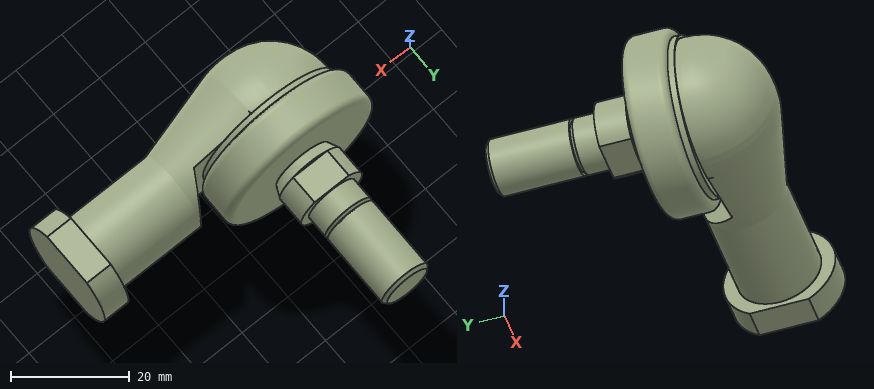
import cadquery as cq
import math


head_radius = 12.6
band_length = 1.4
head_top_y = 1.0
collar_radius = 14.2
shank_radius = 7.5
shank_start_x = 19.9
relief_angle = 60.0

flange_radius = 10.0
flange_width = 17.0
flange_length = 5.2
housing_end_x = 43.0

cap_radius = 16.0
cap_bottom_y = 2.2
cap_top_y = 10.1
cap_fillet = 1.4

stud_top_y = 37.9
stud_radius = 5.0
stud_chamfer = 0.65
thread_length = 15.0
wrench_radius = 6.65
wrench_width = 11.0
wrench_top_y = 17.9
wrench_bottom_y = 12.2
stud_root_radius = 5.7

tangent_angle = math.atan2(shank_radius, shank_start_x) + math.acos(
    head_radius / math.hypot(shank_radius, shank_start_x)
)
tangent_x = head_radius * math.cos(tangent_angle)
tangent_radius = head_radius * math.sin(tangent_angle)
flange_start_x = housing_end_x - flange_length


def head_outline():
    """Half outline of the head, from the tip of the dome to the end of the arc."""
    mid_angle = (tangent_angle + math.pi / 2) / 2
    dome_mid = head_radius * math.sqrt(0.5)
    return (
        cq.Workplane("XZ")
        .moveTo(-band_length - head_radius, 0)
        .threePointArc((-band_length - dome_mid, dome_mid), (-band_length, head_radius))
        .lineTo(0, head_radius)
        .threePointArc(
            (head_radius * math.cos(mid_angle), head_radius * math.sin(mid_angle)),
            (tangent_x, tangent_radius),
        )
        .lineTo(tangent_x, 0)
        .close()
    )


def build_head():
    """Half-round head below the shank axis, continued straight up to the flat top."""
    lower = head_outline().revolve(180, (0, 0), (1, 0))
    upper_half = head_outline().extrude(-head_top_y)
    return lower.union(upper_half).union(upper_half.mirror("XY"))


def build_shank():
    """Cone and cylinder around the X axis, relieved beside the cap."""
    shank = (
        cq.Workplane("XY")
        .moveTo(tangent_x, 0)
        .lineTo(tangent_x, tangent_radius)
        .lineTo(shank_start_x, shank_radius)
        .lineTo(flange_start_x, shank_radius)
        .lineTo(flange_start_x, 0)
        .close()
        .revolve(360, (0, 0), (1, 0))
    )
    relief_run = (shank_radius - head_top_y) / math.tan(math.radians(relief_angle))
    relief_height = head_radius - head_top_y
    relief_top_run = relief_height / math.tan(math.radians(relief_angle))
    relief_foot_x = shank_start_x - relief_run
    relief = (
        cq.Workplane("XY")
        .moveTo(0, head_top_y)
        .lineTo(relief_foot_x, head_top_y)
        .lineTo(relief_foot_x + relief_top_run, head_radius)
        .lineTo(0, head_radius)
        .close()
        .extrude(head_radius, both=True)
    )
    return shank.cut(relief)


def build_flange():
    """Disc at the shank end with two flats facing +Z and -Z."""
    flange_plane = cq.Workplane("YZ", origin=(flange_start_x, 0, 0))
    disc = flange_plane.circle(flange_radius).extrude(flange_length)
    flat_bar = flange_plane.rect(2 * flange_radius, flange_width).extrude(flange_length)
    return disc.intersect(flat_bar)


def disc_on_stud_axis(radius, bottom_y, top_y):
    """Disc around the Y axis between two heights."""
    return cq.Workplane("XZ", origin=(0, top_y, 0)).circle(radius).extrude(top_y - bottom_y)


def build_housing():
    """Head, shank and end flange with the collar and the cap on top of the head."""
    collar = disc_on_stud_axis(collar_radius, head_top_y, cap_bottom_y)
    cap = disc_on_stud_axis(cap_radius, cap_bottom_y, cap_top_y).edges().fillet(cap_fillet)
    return build_head().union(build_shank()).union(build_flange()).union(collar).union(cap)


def build_stud():
    """Stud standing on the cap: root cone, wrench section with two flats, plain neck and thread."""
    thread_bottom_y = stud_top_y - thread_length
    chamfered_radius = stud_radius - stud_chamfer
    body = (
        cq.Workplane("XY")
        .moveTo(0, cap_top_y)
        .lineTo(stud_root_radius, cap_top_y)
        .lineTo(wrench_radius, wrench_bottom_y)
        .lineTo(wrench_radius, wrench_top_y)
        .lineTo(stud_radius, wrench_top_y)
        .lineTo(stud_radius, thread_bottom_y - stud_chamfer)
        .lineTo(chamfered_radius, thread_bottom_y)
        .lineTo(stud_radius, thread_bottom_y)
        .lineTo(stud_radius, stud_top_y - stud_chamfer)
        .lineTo(chamfered_radius, stud_top_y)
        .lineTo(0, stud_top_y)
        .close()
        .revolve(360, (0, 0), (0, 1))
    )
    wrench_length = wrench_top_y - wrench_bottom_y
    wrench_mid_y = (wrench_top_y + wrench_bottom_y) / 2
    for side in (1, -1):
        flat_cut = cq.Workplane("XY").box(2 * wrench_radius, wrench_length, wrench_radius)
        flat_z = side * (wrench_width + wrench_radius) / 2
        body = body.cut(flat_cut.translate((0, wrench_mid_y, flat_z)))
    return body


housing = build_housing()
stud = build_stud()

result = cq.Compound.makeCompound([housing.solids().val(), stud.solids().val()])